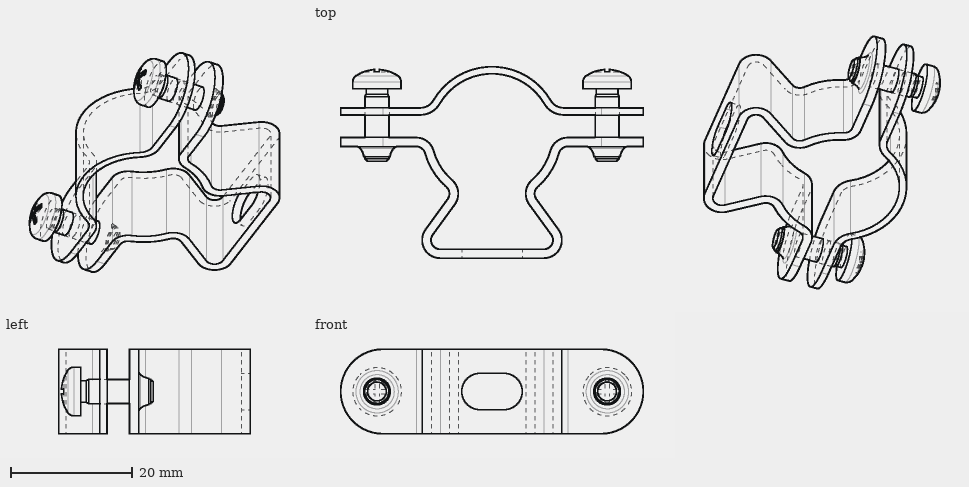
import cadquery as cq
import math

LENGTH = 50.0
WIDTH = 14.0
PIPE_RADIUS = 10.0
SCREW_X = 19.0

SADDLE_THICKNESS = 1.2
SADDLE_EAR_BOTTOM = 3.2
SADDLE_BEND_RADIUS = 2.5

BASE_THICKNESS = 1.5
BASE_EAR_BOTTOM = -2.0
BASE_BEND_RADIUS = 1.5
FOOT_BOTTOM = -20.45
FOOT_BEND_X = 8.55
FOOT_SLOT_LENGTH = 10.0
FOOT_SLOT_WIDTH = 6.0

SHANK_DIAMETER = 4.0
NECK_DIAMETER = 3.6
NECK_BOTTOM = 6.65
NECK_CONE_HEIGHT = 0.45
HEAD_DIAMETER = 8.0
HEAD_BOTTOM = 7.5
HEAD_SIDE_HEIGHT = 1.2
HEAD_HEIGHT = 3.25
HEAD_EDGE_RADIUS = 1.2
RECESS_WIDTH = 0.75
RECESS_DEPTH = 0.4
TIP_LENGTH = 2.45
TIP_CHAMFER = 0.45

COLLAR_TOP_DIAMETER = 7.0
COLLAR_TOP_RADIUS = 0.95
COLLAR_FLARE_ANGLE = 45.0
COLLAR_HEIGHT = 1.65
COLLAR_END_DIAMETER = 4.4

ORIGIN = (0.0, 0.0)
SAME_POINT = 5e-07


def on_circle(center, radius, degrees):
    """Point on a circle at an angle from +X."""
    angle = math.radians(degrees)
    return (center[0] + radius * math.cos(angle), center[1] + radius * math.sin(angle))


def direction(point):
    """Angle in degrees from the pipe axis to a point."""
    return math.degrees(math.atan2(point[1], point[0]))


def bend_center(distance, height):
    """Point on the +X side at a given distance from the pipe axis and a given Y."""
    return (math.sqrt(distance**2 - height**2), height)


def mirrored(arcs):
    """The same arcs on the -X side, run the other way."""
    return [((-c[0], c[1]), r, 180 - end, 180 - start) for c, r, start, end in reversed(arcs)]


def backward(arcs):
    """The same arcs on the same side, run the other way."""
    return [(c, r, end, start) for c, r, start, end in reversed(arcs)]


def follow(outline, arcs):
    """Draw the arcs in turn, with straight lines across the gaps between them."""
    for center, radius, start, end in arcs:
        start_point = on_circle(center, radius, start)
        here = outline.val().endPoint() if outline.ctx.pendingEdges else None
        if here is None or math.dist(here.toTuple()[:2], start_point) > SAME_POINT:
            outline = outline.lineTo(*start_point)
        middle_point = on_circle(center, radius, (start + end) / 2)
        outline = outline.threePointArc(middle_point, on_circle(center, radius, end))
    return outline


def bent_strap(lower_face, upper_face, ear_bottom, thickness):
    """Extrude the bent section across the width and round the ends of both ears."""
    tip_x = LENGTH / 2
    section = cq.Workplane("XY").moveTo(tip_x, ear_bottom)
    section = follow(section, lower_face)
    section = section.lineTo(-tip_x, ear_bottom).lineTo(-tip_x, ear_bottom + thickness)
    section = follow(section, backward(upper_face))
    section = section.lineTo(tip_x, ear_bottom + thickness).close()
    ear_outline = cq.Workplane("XZ").slot2D(LENGTH, WIDTH).extrude(LENGTH, both=True)
    return section.extrude(WIDTH / 2, both=True).intersect(ear_outline)


def saddle_arcs(depth):
    """Face of the saddle at a depth into the sheet from the pipe side."""
    bend_radius = SADDLE_BEND_RADIUS + SADDLE_THICKNESS
    bend = bend_center(PIPE_RADIUS + bend_radius, SADDLE_EAR_BOTTOM + bend_radius)
    tangent = direction(bend)
    side = [(bend, bend_radius - depth, 270, 180 + tangent)]
    crown = (ORIGIN, PIPE_RADIUS + depth, tangent, 180 - tangent)
    return side + [crown] + mirrored(side)


def base_arcs(depth):
    """Face of the base at a depth into the sheet from the pipe side."""
    wide_radius = BASE_BEND_RADIUS + BASE_THICKNESS
    ear_bend = bend_center(PIPE_RADIUS + wide_radius, BASE_EAR_BOTTOM - BASE_BEND_RADIUS)
    waist_height = -math.sqrt((PIPE_RADIUS + wide_radius) ** 2 - FOOT_BEND_X**2)
    waist = (FOOT_BEND_X, waist_height)
    foot_bend = (FOOT_BEND_X, FOOT_BOTTOM + wide_radius)
    bend_spacing = waist[1] - foot_bend[1]
    leg_tilt = math.degrees(math.asin((BASE_BEND_RADIUS + wide_radius) / bend_spacing))
    side = [
        (ear_bend, wide_radius - depth, 90, 180 + direction(ear_bend)),
        (ORIGIN, PIPE_RADIUS + depth, direction(ear_bend), direction(waist)),
        (waist, wide_radius - depth, 180 + direction(waist), 180 + leg_tilt),
        (foot_bend, BASE_BEND_RADIUS + depth, leg_tilt, -90),
    ]
    return side + mirrored(side)


def make_saddle():
    """Bent saddle strap with a hole for each screw."""
    pipe_face = saddle_arcs(0)
    outer_face = saddle_arcs(SADDLE_THICKNESS)
    strap = bent_strap(pipe_face, outer_face, SADDLE_EAR_BOTTOM, SADDLE_THICKNESS)
    screw_holes = (
        cq.Workplane("XZ")
        .pushPoints([(-SCREW_X, 0), (SCREW_X, 0)])
        .circle(SHANK_DIAMETER / 2)
        .extrude(LENGTH, both=True)
    )
    return strap.cut(screw_holes)


def head_recess():
    """Two crossed slots in the top of the head."""
    slot = cq.Workplane("XY").box(HEAD_DIAMETER, 2 * RECESS_DEPTH, RECESS_WIDTH)
    cross = slot.union(slot.rotate((0, 0, 0), (0, 1, 0), 90))
    return cross.translate((0, HEAD_BOTTOM + HEAD_HEIGHT, 0))


def make_screw():
    """Screw along the Y axis: pan head, neck, shank and chamfered tip."""
    shank = SHANK_DIAMETER / 2
    neck = NECK_DIAMETER / 2
    head = HEAD_DIAMETER / 2
    tip = BASE_EAR_BOTTOM - TIP_LENGTH
    head_top = HEAD_BOTTOM + HEAD_HEIGHT
    edge_center = (head - HEAD_EDGE_RADIUS, HEAD_BOTTOM + HEAD_SIDE_HEIGHT)
    drop = head_top - edge_center[1]
    tangency_term = edge_center[0] ** 2 + drop**2 - HEAD_EDGE_RADIUS**2
    dome_radius = tangency_term / (2 * (drop - HEAD_EDGE_RADIUS))
    dome_center = (0.0, head_top - dome_radius)
    meeting = math.degrees(math.atan2(edge_center[1] - dome_center[1], edge_center[0]))
    profile = (
        cq.Workplane("XY")
        .moveTo(0, tip)
        .lineTo(shank - TIP_CHAMFER, tip)
        .lineTo(shank, tip + TIP_CHAMFER)
        .lineTo(shank, NECK_BOTTOM - NECK_CONE_HEIGHT)
        .lineTo(neck, NECK_BOTTOM)
        .lineTo(neck, HEAD_BOTTOM)
        .lineTo(head, HEAD_BOTTOM)
        .lineTo(head, edge_center[1])
        .threePointArc(
            on_circle(edge_center, HEAD_EDGE_RADIUS, meeting / 2),
            on_circle(edge_center, HEAD_EDGE_RADIUS, meeting),
        )
        .threePointArc(
            on_circle(dome_center, dome_radius, (meeting + 90) / 2),
            (0, head_top),
        )
        .close()
    )
    return profile.revolve(360, (0, 0), (0, 1)).cut(head_recess())


def make_collar():
    """Flared collar whose side curves from the ear down to the screw."""
    top = COLLAR_TOP_DIAMETER / 2
    end = COLLAR_END_DIAMETER / 2
    bottom = BASE_EAR_BOTTOM - COLLAR_HEIGHT
    flare_center = (top, BASE_EAR_BOTTOM - COLLAR_TOP_RADIUS)
    profile = (
        cq.Workplane("XY")
        .moveTo(0, bottom)
        .lineTo(0, BASE_EAR_BOTTOM)
        .lineTo(top, BASE_EAR_BOTTOM)
        .threePointArc(
            on_circle(flare_center, COLLAR_TOP_RADIUS, 90 + COLLAR_FLARE_ANGLE / 2),
            on_circle(flare_center, COLLAR_TOP_RADIUS, 90 + COLLAR_FLARE_ANGLE),
        )
        .tangentArcPoint((end, bottom), relative=False)
        .close()
    )
    return profile.revolve(360, (0, 0), (0, 1))


def make_base():
    """Bent base strap, in one piece with its two collars and screws."""
    pipe_face = base_arcs(0)
    outer_face = base_arcs(BASE_THICKNESS)
    base = bent_strap(outer_face, pipe_face, BASE_EAR_BOTTOM, BASE_THICKNESS)
    foot_slot = (
        cq.Workplane("XZ", origin=(0, FOOT_BOTTOM, 0))
        .slot2D(FOOT_SLOT_LENGTH, FOOT_SLOT_WIDTH)
        .extrude(BASE_THICKNESS, both=True)
    )
    base = base.cut(foot_slot)
    screw = make_screw().union(make_collar())
    for x in (-SCREW_X, SCREW_X):
        base = base.union(screw.translate((x, 0, 0)))
    return base


saddle = make_saddle()
base = make_base()

result = cq.Compound.makeCompound([saddle.solids().val(), base.solids().val()])